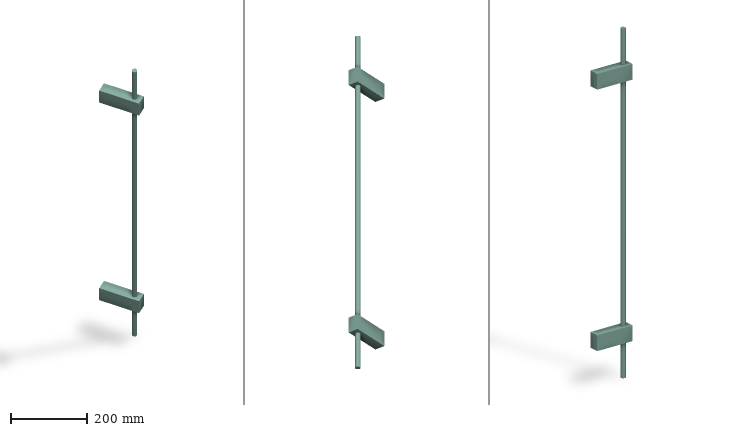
import cadquery as cq

rod_length = 994.0
rod_diameter = 14.0

block_width = 115.0
block_depth = 30.0
block_height = 45.0
block_spacing = 744.0
rod_offset = 38.0


def make_rod():
    """Round rod along Z, off-centre in the block width."""
    rod = cq.Workplane("XY").circle(rod_diameter / 2).extrude(rod_length)
    return rod.translate((rod_offset, 0, -rod_length / 2))


def make_block(center_z):
    """Plain rectangular block centred at the given height."""
    block = cq.Workplane("XY").box(block_width, block_depth, block_height)
    return block.translate((0, 0, center_z))


def make_handle():
    """Rod with the lower block fixed to it, as one solid."""
    return make_rod().union(make_block(-block_spacing / 2))


def make_upper_block():
    """Separate upper block, with a through hole that the rod fills."""
    return make_block(block_spacing / 2).cut(make_rod())


handle = make_handle()
upper_block = make_upper_block()

result = cq.Compound.makeCompound([handle.val(), upper_block.val()])